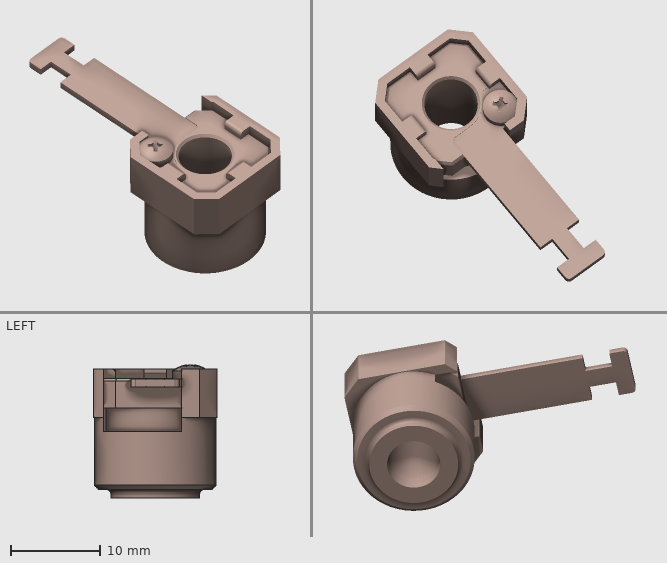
import cadquery as cq
import math


head_side = 13.9
head_corner = 2.0
housing_top = 14.5
head_bottom = 9.05
barrel_diameter = 13.7
barrel_bottom = 1.0
barrel_chamfer = 0.48
boss_diameter = 10.0
boss_fillet = 0.5
bore_diameter = 6.0

opening_y_min = -2.97
opening_y_max = 5.8
notch_floor = 7.5
notch_core_diameter = 11.0

insert_side = 11.9
insert_corner = 1.5
insert_bottom = 10.1
insert_top = 13.45
insert_chamfer = 0.3

clip_width = 2.52
clip_reach = 1.5
clip_round = 0.5

lever_top = 13.37
lever_thickness = 0.85
lever_width = 5.5
overall_length = 31.9
lever_end_x = head_side / 2 - overall_length
bar_length = 2.0
neck_length = 3.05
neck_width = 2.1
lever_round = 0.5
lever_shoulder_x = -3.5
lever_tab_x = -1.0

screw_diameter = 4.0
screw_rim_height = 0.93
screw_top = 15.0
cross_span = 2.1
cross_width = 0.45
cross_depth = 0.5
cross_core_diameter = 0.95
cross_cone_depth = 0.32

half_insert = insert_side / 2
lever_bottom = lever_top - lever_thickness
screw_offset = half_insert - screw_diameter / 2


def octagon(side, corner, bottom, top):
    """Square prism on the Z axis with its four upright corners cut off."""
    prism = cq.Workplane("XY").workplane(offset=bottom).rect(side, side).extrude(top - bottom)
    return prism.edges("|Z").chamfer(corner)


def cylinder(diameter, bottom, top):
    return cq.Workplane("XY").workplane(offset=bottom).circle(diameter / 2).extrude(top - bottom)


def make_opening():
    """Space cleared from the -X half of the head and barrel, around a round core below the insert."""
    opening = cq.Workplane("XY").box(
        head_side / 2,
        opening_y_max - opening_y_min,
        housing_top - notch_floor,
        centered=False,
    )
    opening = opening.translate((-head_side / 2, opening_y_min, notch_floor))
    return opening.cut(cylinder(notch_core_diameter, notch_floor, insert_bottom))


def make_barrel():
    """Turned lower part: boss, fillet under the barrel, chamfer and barrel wall."""
    boss_radius = boss_diameter / 2
    barrel_radius = barrel_diameter / 2
    return (
        cq.Workplane("XZ")
        .lineTo(boss_radius, 0)
        .lineTo(boss_radius, barrel_bottom - boss_fillet)
        .tangentArcPoint((boss_radius + boss_fillet, barrel_bottom), relative=False)
        .lineTo(barrel_radius - barrel_chamfer, barrel_bottom)
        .lineTo(barrel_radius, barrel_bottom + barrel_chamfer)
        .lineTo(barrel_radius, head_bottom)
        .lineTo(0, head_bottom)
        .close()
        .revolve(360, (0, 0, 0), (0, 1, 0))
    )


def make_housing(screw):
    body = make_barrel().union(octagon(head_side, head_corner, head_bottom, housing_top))
    body = body.cut(octagon(insert_side, insert_corner, insert_bottom, housing_top))
    body = body.cut(cylinder(bore_diameter, 0, insert_bottom))
    body = body.cut(make_opening())
    return body.cut(screw)


def make_lever():
    """Flat lever: T-shaped grip, wide arm, and a tab that wraps round the bore to the -Y wall."""
    half_width = lever_width / 2
    half_neck = neck_width / 2
    bar_x = lever_end_x + bar_length
    arm_x = bar_x + neck_length
    wrap_radius = -lever_shoulder_x
    wrap_end_y = -math.sqrt(wrap_radius**2 - lever_tab_x**2)
    wrap_middle = wrap_radius * math.sqrt(0.5)
    corner_flat = half_insert - insert_corner
    lever = (
        cq.Workplane("XY")
        .workplane(offset=lever_bottom)
        .moveTo(lever_end_x, -half_width)
        .lineTo(bar_x, -half_width)
        .lineTo(bar_x, -half_neck)
        .lineTo(arm_x, -half_neck)
        .lineTo(arm_x, -half_width)
        .lineTo(-half_insert, -half_width)
        .lineTo(-half_insert, -corner_flat)
        .lineTo(-corner_flat, -half_insert)
        .lineTo(lever_tab_x, -half_insert)
        .lineTo(lever_tab_x, wrap_end_y)
        .threePointArc((-wrap_middle, -wrap_middle), (lever_shoulder_x, 0))
        .lineTo(lever_shoulder_x, half_width)
        .lineTo(arm_x, half_width)
        .lineTo(arm_x, half_neck)
        .lineTo(bar_x, half_neck)
        .lineTo(bar_x, half_width)
        .lineTo(lever_end_x, half_width)
        .close()
        .extrude(lever_thickness)
    )
    lever = lever.edges("|Z and <X").fillet(lever_round)
    for x, y in ((lever_shoulder_x, half_width), (lever_tab_x, wrap_end_y)):
        corner = cq.selectors.NearestToPointSelector((x, y, lever_top - lever_thickness / 2))
        lever = lever.edges("|Z").edges(corner).fillet(lever_round)
    return lever


def make_clip(angle):
    """Clip on the edge of the insert, at the given angle about Z and flush with the housing top."""
    foot = insert_top - insert_chamfer
    clip = cq.Workplane("XY").box(clip_reach, clip_width, housing_top - foot, centered=(False, True, False))
    clip = clip.edges("|Y and <X and >Z").fillet(clip_round)
    clip = clip.translate((half_insert - clip_reach, 0, foot))
    return clip.rotate((0, 0, 0), (0, 0, 1), angle)


def make_insert(lever):
    body = octagon(insert_side, insert_corner, insert_bottom, insert_top)
    body = body.faces(">Z").chamfer(insert_chamfer)
    body = body.cut(cylinder(bore_diameter, insert_bottom, insert_top))
    bore_rim = cq.selectors.RadiusNthSelector(0)
    body = body.faces(">Z").edges(bore_rim).chamfer(insert_chamfer)
    for angle in (-90, 0, 90):
        body = body.union(make_clip(angle))
    pocket = lever.union(lever.translate((0, 0, insert_top - lever_top)))
    return body.cut(pocket)


def make_cross_recess():
    """Round core with a conical floor, and four arms with floors that slope down into it."""
    core_radius = cross_core_diameter / 2
    floor = screw_top - cross_depth
    recess = (
        cq.Workplane("XZ")
        .moveTo(0, screw_top)
        .lineTo(core_radius, screw_top)
        .lineTo(core_radius, floor)
        .lineTo(0, floor - cross_cone_depth)
        .close()
        .revolve(360, (0, 0, 0), (0, 1, 0))
    )
    arm_pair = (
        cq.Workplane("XZ")
        .moveTo(-cross_span / 2, screw_top)
        .lineTo(-core_radius, floor)
        .lineTo(core_radius, floor)
        .lineTo(cross_span / 2, screw_top)
        .close()
        .extrude(cross_width / 2, both=True)
    )
    for angle in (45, 135):
        recess = recess.union(arm_pair.rotate((0, 0, 0), (0, 0, 1), angle))
    return recess


def make_screw():
    """Domed screw head with a cross recess turned 45 degrees."""
    radius = screw_diameter / 2
    rim_z = lever_top + screw_rim_height
    rise = screw_top - rim_z
    dome_radius = (radius**2 + rise**2) / (2 * rise)
    half_x = radius / 2
    half_z = screw_top - dome_radius + math.sqrt(dome_radius**2 - half_x**2)
    screw = (
        cq.Workplane("XZ")
        .moveTo(0, lever_top)
        .lineTo(radius, lever_top)
        .lineTo(radius, rim_z)
        .threePointArc((half_x, half_z), (0, screw_top))
        .close()
        .revolve(360, (0, 0, 0), (0, 1, 0))
    )
    screw = screw.cut(make_cross_recess())
    return screw.translate((-screw_offset, -screw_offset, 0))


screw = make_screw()
lever = make_lever()
insert = make_insert(lever)
housing = make_housing(screw)

result = cq.Compound.makeCompound([housing.val(), insert.val(), lever.val(), screw.val()])